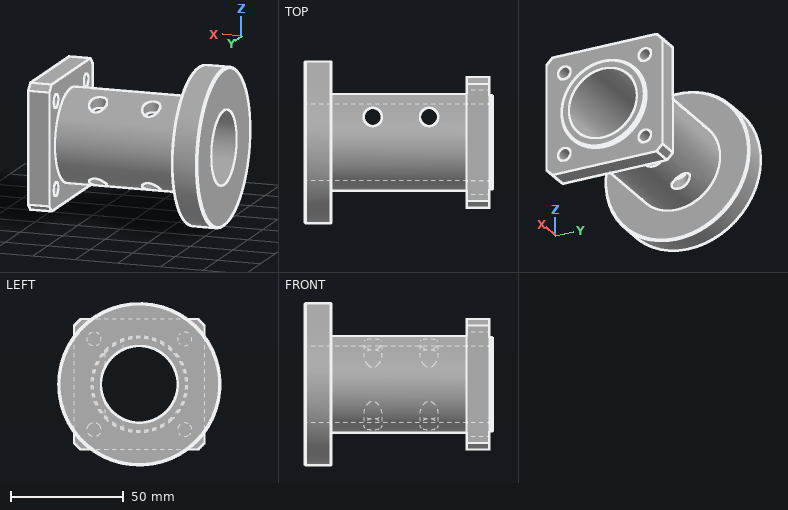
import cadquery as cq

total_length = 83.5
flange_diameter = 72.0
flange_thickness = 12.0
flange_chamfer = 0.5
tube_diameter = 43.0
bore_diameter = 34.0

plate_side = 58.0
plate_start = 71.9
plate_thickness = 10.0
plate_corner_chamfer = 3.0
bolt_hole_diameter = 6.2
bolt_hole_spacing = 40.25

spigot_diameter = 42.0
spigot_chamfer = 0.5

cross_hole_diameter = 8.0
cross_hole_first_x = 30.2
cross_hole_pitch = 25.0
cross_hole_count = 2
cross_hole_y = 11.3

plate_end = plate_start + plate_thickness


def cylinder_along_x(diameter, start, end):
    return cq.Workplane("YZ", origin=(start, 0, 0)).circle(diameter / 2).extrude(end - start)


def make_flange():
    flange = cylinder_along_x(flange_diameter, 0, flange_thickness)
    return flange.edges().chamfer(flange_chamfer)


def make_plate():
    plate = (
        cq.Workplane("YZ", origin=(plate_start, 0, 0))
        .rect(plate_side, plate_side)
        .extrude(plate_thickness)
        .edges("|X")
        .chamfer(plate_corner_chamfer)
    )
    bolt_holes = (
        cq.Workplane("YZ", origin=(plate_start, 0, 0))
        .rect(bolt_hole_spacing, bolt_hole_spacing, forConstruction=True)
        .vertices()
        .circle(bolt_hole_diameter / 2)
        .extrude(plate_thickness)
    )
    return plate.cut(bolt_holes)


def make_spigot():
    spigot = cylinder_along_x(spigot_diameter, plate_start, total_length)
    return spigot.faces(">X").edges().chamfer(spigot_chamfer)


def make_cross_holes():
    """Vertical holes, offset from the axis, through both walls of the tube."""
    centers = [
        (cross_hole_first_x + i * cross_hole_pitch, cross_hole_y)
        for i in range(cross_hole_count)
    ]
    return (
        cq.Workplane("XY")
        .pushPoints(centers)
        .circle(cross_hole_diameter / 2)
        .extrude(tube_diameter / 2, both=True)
    )


tube = cylinder_along_x(tube_diameter, 0, plate_end)
bore = cylinder_along_x(bore_diameter, 0, total_length)

result = (
    make_flange()
    .union(tube)
    .union(make_plate())
    .union(make_spigot())
    .cut(bore)
    .cut(make_cross_holes())
)